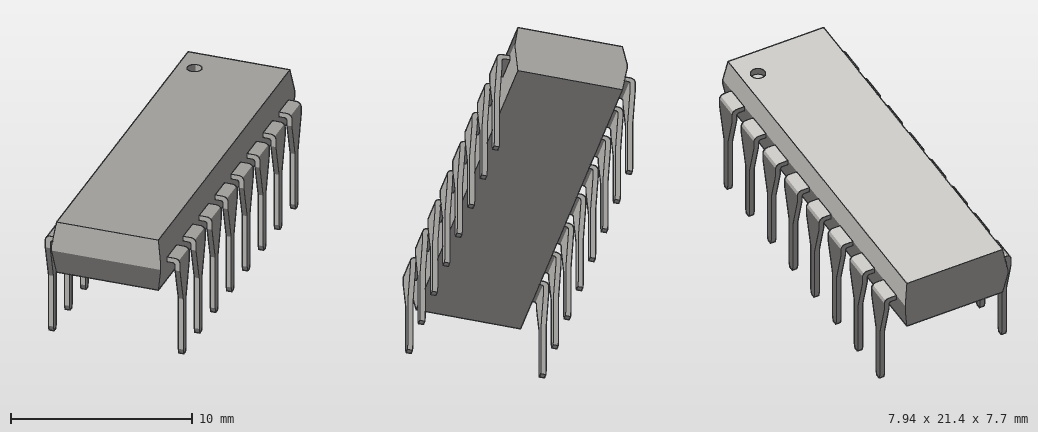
import cadquery as cq


body_length = 21.35
lead_span = 7.94
total_height = 7.7

body_width = 6.42
body_height = 3.15
band_height = 0.32
draft_inset = 0.21
draft_height = (body_height - band_height) / 2
band_top = total_height - draft_height
band_bottom = band_top - band_height

marker_diameter = 0.83
marker_depth = 0.43
marker_x = -2.0
marker_y = 8.8

leads_per_side = 8
lead_pitch = 2.55
lead_thickness = 0.3
bend_outer_radius = 0.3
bend_inner_radius = 0.15
shoulder_width = 1.5
pin_width = 0.47
tip_width = 0.3
taper_start_drop = 0.77
taper_end_drop = 2.77
tip_height = 0.3
lead_top = band_bottom + lead_thickness
lead_embed = 0.21


def make_body():
    """Straight band with one tapered half above it and one below it."""
    band = cq.Workplane("XY", origin=(0, 0, band_bottom)).rect(body_width, body_length).extrude(band_height)

    def drafted_half(start_z, direction):
        return (
            cq.Workplane("XY", origin=(0, 0, start_z))
            .rect(body_width, body_length)
            .workplane(offset=direction * draft_height)
            .rect(body_width - 2 * draft_inset, body_length - 2 * draft_inset)
            .loft(ruled=True)
        )

    return band.union(drafted_half(band_top, 1)).union(drafted_half(band_bottom, -1))


def make_marker():
    """Cylinder that cuts the round recess in the top face."""
    return (
        cq.Workplane("XY", origin=(marker_x, marker_y, total_height - marker_depth))
        .circle(marker_diameter / 2)
        .extrude(marker_depth)
    )


def make_left_lead():
    """Bent strip on the -X side, trimmed to its shouldered outline, centred on Y = 0."""
    outer_x = -lead_span / 2
    inner_x = outer_x + lead_thickness
    root_x = -body_width / 2 + lead_embed
    strip = (
        cq.Workplane("XZ")
        .moveTo(root_x, lead_top)
        .lineTo(outer_x + bend_outer_radius, lead_top)
        .radiusArc((outer_x, lead_top - bend_outer_radius), -bend_outer_radius)
        .lineTo(outer_x, 0)
        .lineTo(inner_x, 0)
        .lineTo(inner_x, band_bottom - bend_inner_radius)
        .radiusArc((inner_x + bend_inner_radius, band_bottom), bend_inner_radius)
        .lineTo(root_x, band_bottom)
        .close()
        .extrude(shoulder_width / 2, both=True)
    )
    half_outline = [
        (shoulder_width / 2, lead_top),
        (shoulder_width / 2, lead_top - taper_start_drop),
        (pin_width / 2, lead_top - taper_end_drop),
        (pin_width / 2, tip_height),
        (tip_width / 2, 0),
    ]
    mirrored_half = [(-y, z) for y, z in reversed(half_outline)]
    outline = (
        cq.Workplane("YZ", origin=(outer_x, 0, 0))
        .polyline(half_outline + mirrored_half)
        .close()
        .extrude(root_x - outer_x)
    )
    return strip.intersect(outline)


left_lead = make_left_lead()
right_lead = left_lead.mirror("YZ")

result = make_body().cut(make_marker())
for index in range(leads_per_side):
    lead_y = (index - (leads_per_side - 1) / 2) * lead_pitch
    for lead in (left_lead, right_lead):
        result = result.union(lead.translate((0, lead_y, 0)))